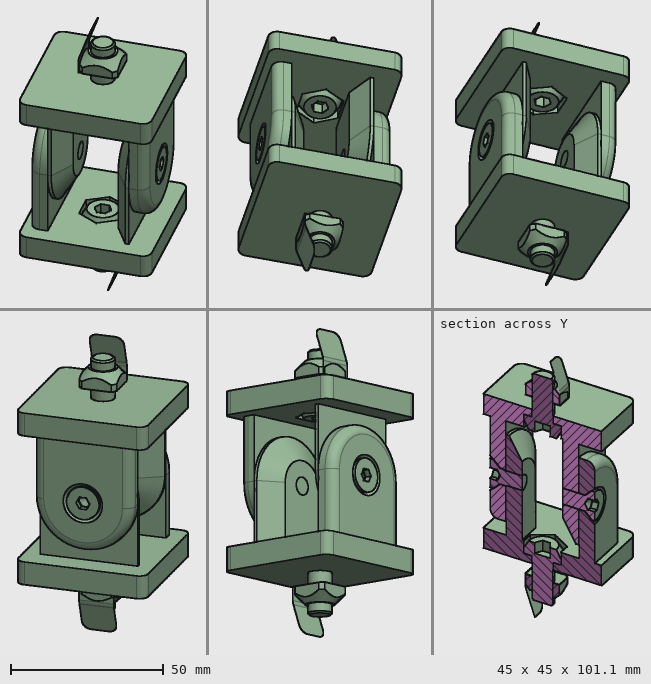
import cadquery as cq
import math


plate_side = 45.0
plate_thickness = 8.0
plate_corner_radius = 3.0
plate_outer_z = 30.0
plate_inner_z = plate_outer_z - plate_thickness

ear_radius = 17.0
ear_outer_x = 20.0
ear_joint_x = 13.8
ear_inner_x = 7.7
outer_ear_fillet = 3.3
inner_ear_rim = 1.2
inner_ear_bevel_depth = ear_joint_x - ear_inner_x - inner_ear_rim
inner_ear_bevel_width = 8.5

pivot_diameter = 6.0
pivot_head_diameter = 11.3
countersink_diameter = 13.5
pivot_cone_start_x = ear_outer_x - (countersink_diameter - pivot_head_diameter) / 2
pivot_cone_end_x = pivot_cone_start_x - (pivot_head_diameter - pivot_diameter) / 2
pivot_socket_flats = 4.0
pivot_socket_depth = 2.5
drill_point_angle = math.radians(120)

bolt_diameter = 8.0
bolt_tip_diameter = 6.8
bolt_tip_chamfer = (bolt_diameter - bolt_tip_diameter) / 2
bolt_end_z = 44.1
bolt_head_flats = 14.0
bolt_head_top_diameter = 10.6
bolt_head_chamfer_angle = math.radians(60)
bolt_head_height = 5.4
bolt_head_protrusion = 0.5
bolt_head_top_z = plate_inner_z - bolt_head_protrusion
bolt_head_seat_z = bolt_head_top_z + bolt_head_height
bolt_socket_flats = 5.0
bolt_socket_depth = 4.0

strip_thickness = 0.1
strip_width = 12.0
strip_corner_radius = 3.0
strip_bend_radius = 4.4
strip_bend_z = 39.2
strip_lean = math.radians(19)
strip_tip_z = 101.1 / 2

nut_side = 13.0
nut_corner_chamfer = 1.4
nut_top_z = 40.6
nut_bottom_z = 34.8
nut_top_diameter = 9.6

HEX_CORNER_RATIO = 2 / math.sqrt(3)


def cone_along(start, direction, start_radius, end_radius):
    """A 45 degree cone frustum."""
    height = abs(start_radius - end_radius)
    return cq.Workplane(cq.Solid.makeCone(start_radius, end_radius, height, start, direction))


def ear_outline(x):
    """Ear profile at a given X: a round end about the pivot axis, straight sides up to the plate."""
    return (
        cq.Workplane("YZ", origin=(x, 0, 0))
        .moveTo(-ear_radius, plate_inner_z)
        .lineTo(-ear_radius, 0)
        .threePointArc((0, -ear_radius), (ear_radius, 0))
        .lineTo(ear_radius, plate_inner_z)
        .close()
    )


def outer_ear():
    ear = ear_outline(ear_joint_x).extrude(ear_outer_x - ear_joint_x)
    return ear.faces(">X").edges("not(>Z)").fillet(outer_ear_fillet)


def inner_ear():
    """Flat rim at the joint, then a bevel towards the middle of the hinge."""
    rim = ear_outline(-ear_joint_x).extrude(inner_ear_rim)
    rim_end_x = inner_ear_rim - ear_joint_x
    inner_half_width = ear_radius - inner_ear_bevel_width
    bevel_cone = cq.Workplane(
        cq.Solid.makeCone(
            ear_radius,
            inner_half_width,
            inner_ear_bevel_depth,
            cq.Vector(rim_end_x, 0, 0),
            cq.Vector(1, 0, 0),
        )
    )
    bevel_sides = (
        cq.Workplane("XY")
        .polyline(
            [
                (rim_end_x, -ear_radius),
                (-ear_inner_x, -inner_half_width),
                (-ear_inner_x, inner_half_width),
                (rim_end_x, ear_radius),
            ]
        )
        .close()
        .extrude(plate_inner_z)
    )
    return rim.union(bevel_cone).union(bevel_sides)


def hexagon_prism(plane, origin, flats, length, turn=0):
    return (
        cq.Workplane(plane, origin=origin)
        .transformed(rotate=(0, 0, turn))
        .polygon(6, flats * HEX_CORNER_RATIO)
        .extrude(length)
    )


def bolt_head_hexagon(base_z, top_z):
    """Hexagon with its flats facing +X and -X."""
    hexagon_turn = 30
    return hexagon_prism("XY", (0, 0, base_z), bolt_head_flats, top_z - base_z, turn=hexagon_turn)


def bracket():
    plate = (
        cq.Workplane("XY", origin=(0, 0, plate_inner_z))
        .rect(plate_side, plate_side)
        .extrude(plate_thickness)
        .edges("|Z")
        .fillet(plate_corner_radius)
    )
    body = plate.union(outer_ear()).union(inner_ear())

    head_pocket = bolt_head_hexagon(plate_inner_z, bolt_head_seat_z)
    bolt_hole = cq.Workplane("XY").circle(bolt_diameter / 2).extrude(plate_outer_z)
    pivot_hole = (
        cq.Workplane("YZ", origin=(-ear_outer_x, 0, 0)).circle(pivot_diameter / 2).extrude(2 * ear_outer_x)
    )
    countersink = cone_along(
        cq.Vector(ear_outer_x, 0, 0), cq.Vector(-1, 0, 0), countersink_diameter / 2, pivot_diameter / 2
    )
    return body.cut(head_pocket).cut(bolt_hole).cut(pivot_hole).cut(countersink)


def pivot_screw():
    shank = (
        cq.Workplane("YZ", origin=(ear_inner_x, 0, 0))
        .circle(pivot_diameter / 2)
        .extrude(pivot_cone_end_x - ear_inner_x)
    )
    head = cone_along(
        cq.Vector(pivot_cone_start_x, 0, 0), cq.Vector(-1, 0, 0), pivot_head_diameter / 2, pivot_diameter / 2
    )
    head_rim = (
        cq.Workplane("YZ", origin=(pivot_cone_start_x, 0, 0))
        .circle(pivot_head_diameter / 2)
        .extrude(ear_outer_x - pivot_cone_start_x)
    )
    socket = hexagon_prism("YZ", (ear_outer_x, 0, 0), pivot_socket_flats, -pivot_socket_depth)
    corner_radius = pivot_socket_flats * HEX_CORNER_RATIO / 2
    drill_point = cq.Workplane(
        cq.Solid.makeCone(
            corner_radius,
            0,
            corner_radius / math.tan(drill_point_angle / 2),
            cq.Vector(ear_outer_x - pivot_socket_depth, 0, 0),
            cq.Vector(-1, 0, 0),
        )
    )
    return shank.union(head).union(head_rim).cut(socket).cut(drill_point)


def plate_bolt():
    top_radius = bolt_head_top_diameter / 2
    seat_radius = top_radius + bolt_head_height / math.tan(bolt_head_chamfer_angle)
    head_cone = cq.Workplane(
        cq.Solid.makeCone(top_radius, seat_radius, bolt_head_height, cq.Vector(0, 0, bolt_head_top_z))
    )
    head = bolt_head_hexagon(bolt_head_top_z, bolt_head_seat_z).intersect(head_cone)
    shank = (
        cq.Workplane("XY", origin=(0, 0, bolt_head_seat_z))
        .circle(bolt_diameter / 2)
        .extrude(bolt_end_z - bolt_head_seat_z)
        .faces(">Z")
        .chamfer(bolt_tip_chamfer)
    )
    socket = hexagon_prism("XY", (0, 0, bolt_head_top_z), bolt_socket_flats, bolt_socket_depth)
    return head.union(shank).cut(socket)


def square_nut():
    block = (
        cq.Workplane("XY", origin=(0, 0, nut_bottom_z))
        .rect(nut_side, nut_side)
        .extrude(nut_top_z - nut_bottom_z)
        .edges("|Z")
        .chamfer(nut_corner_chamfer)
    )
    nut_top_radius = nut_top_diameter / 2
    crown = cone_along(
        cq.Vector(0, 0, nut_top_z),
        cq.Vector(0, 0, -1),
        nut_top_radius,
        nut_top_radius + nut_top_z - nut_bottom_z,
    )
    bore = cq.Workplane("XY").circle(bolt_diameter / 2).extrude(nut_top_z)
    return block.intersect(crown).cut(bore)


def leaf_spring():
    """Base under the nut, upright on the nut's -X side, then a bend and a leaf leaning over the nut."""
    inner_x = -nut_side / 2
    outer_x = inner_x - strip_thickness
    base_z = nut_bottom_z - strip_thickness
    bend_center_x = outer_x + strip_bend_radius
    inner_bend_radius = strip_bend_radius - strip_thickness

    def bend_point(radius, angle):
        return (bend_center_x - radius * math.cos(angle), strip_bend_z + radius * math.sin(angle))

    outer_bend_end = bend_point(strip_bend_radius, strip_lean)
    leaf_rise = strip_tip_z - outer_bend_end[1]
    leaf_run = leaf_rise * math.tan(strip_lean)
    inner_bend_end = bend_point(inner_bend_radius, strip_lean)

    strip = (
        cq.Workplane("XZ", origin=(0, strip_width / 2, 0))
        .moveTo(-inner_x, base_z)
        .lineTo(outer_x, base_z)
        .lineTo(outer_x, strip_bend_z)
        .threePointArc(bend_point(strip_bend_radius, strip_lean / 2), outer_bend_end)
        .lineTo(outer_bend_end[0] + leaf_run, outer_bend_end[1] + leaf_rise)
        .lineTo(inner_bend_end[0] + leaf_run, inner_bend_end[1] + leaf_rise)
        .lineTo(*inner_bend_end)
        .threePointArc(bend_point(inner_bend_radius, strip_lean / 2), (inner_x, strip_bend_z))
        .lineTo(inner_x, nut_bottom_z)
        .lineTo(-inner_x, nut_bottom_z)
        .close()
        .extrude(strip_width)
    )
    strip = strip.faces(">Z").edges("not(|Y)").fillet(strip_corner_radius)
    base_corner_chamfer = nut_corner_chamfer - (nut_side - strip_width) / 2
    strip = strip.edges("|Z and >X").chamfer(base_corner_chamfer)
    bore = cq.Workplane("XY").circle(bolt_diameter / 2).extrude(nut_bottom_z)
    return strip.cut(bore)


half_bodies = [bracket(), pivot_screw(), plate_bolt(), square_nut(), leaf_spring()]
solids = []
for turn in (0, 180):
    for body in half_bodies:
        solids.append(body.val().rotate(cq.Vector(0, 0, 0), cq.Vector(0, 1, 0), turn))

result = cq.Compound.makeCompound(solids)